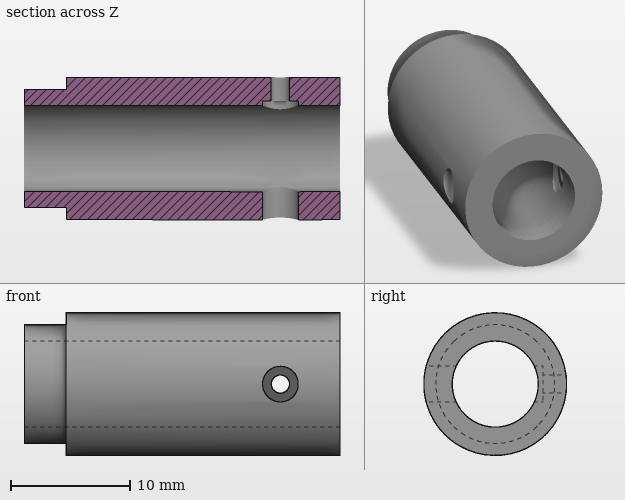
import cadquery as cq

total_length = 26.5
body_diameter = 12.0
neck_diameter = 10.0
neck_length = 3.5
bore_diameter = 7.2

cross_hole_x = 21.5
wide_hole_diameter = 3.0
wide_hole_depth = 10.0
narrow_hole_diameter = 1.5


def cylinder_along_x(diameter, start, length):
    return cq.Workplane("YZ", origin=(start, 0, 0)).circle(diameter / 2).extrude(length)


def cross_hole(diameter, depth):
    """Cutter that enters the body from its -Y side."""
    start = cq.Vector(cross_hole_x, -body_diameter / 2, 0)
    direction = cq.Vector(0, 1, 0)
    return cq.Workplane(cq.Solid.makeCylinder(diameter / 2, depth, start, direction))


neck = cylinder_along_x(neck_diameter, 0, neck_length)
body = cylinder_along_x(body_diameter, neck_length, total_length - neck_length)
bore = cylinder_along_x(bore_diameter, 0, total_length)
sleeve = neck.union(body).cut(bore)

wide_hole = cross_hole(wide_hole_diameter, wide_hole_depth)
narrow_hole = cross_hole(narrow_hole_diameter, body_diameter)
result = sleeve.cut(wide_hole).cut(narrow_hole)